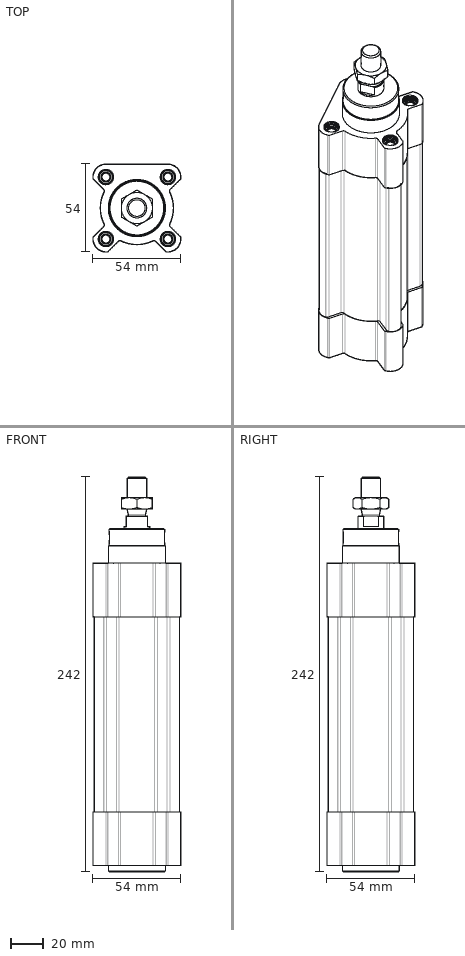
import cadquery as cq
import math

total_height = 242.0
rear_spigot_height = 3.9
cap_height = 33.0
front_cap_top = 189.2
collar_step_z = 200.0
collar_top = 210.5
rear_cap_top = rear_spigot_height + cap_height
front_cap_bottom = front_cap_top - cap_height
tube_height = front_cap_bottom - rear_cap_top

cap_width = 54.0
cap_corner_radius = 8.0
cap_barrel_diameter = 45.0
cap_lug_width = 12.8
cap_tip_fillet = 0.5
tube_inset = 0.7
tube_corner_radius = 5.8
tube_barrel_diameter = 44.5
tube_lug_width = 10.0
tube_tip_fillet = 2.5
cap_root_fillet = 1.2
tube_root_fillet = 1.5
tolerance = 0.002
screw_offset = cap_width / 2 - cap_corner_radius

collar_diameter = 35.0
waisted_diameter = 34.3
waist_depth = 0.2
collar_chamfer = 0.7
step_chamfer = 0.5

screw_steps = [(9.5, 1.0), (8.7, 2.0), (8.0, 3.0), (6.0, 3.9), (4.8, 7.3)]
drill_point_angle = 118.0

rod_diameter = 16.0
rod_bottom = front_cap_bottom
rod_shoulder_z = 218.2
rod_shoulder_chamfer = 0.5
flat_bottom_z = 211.7
flats_width = 13.0
thread_diameter = 12.0
thread_start_z = 222.0
undercut_diameter = 10.6
undercut_top_z = 219.0
tip_chamfer = 1.0

nut_bottom = 222.3
nut_height = 7.0
nut_across_flats = 19.0
nut_corner_chamfer = 1.0
nut_across_corners = nut_across_flats / math.cos(math.radians(30))


def lugged_section(width, corner_radius, barrel_diameter, lug_width, root_fillet, tip_fillet, height):
    """Barrel with four diagonal lugs and one flat side (+Y), standing on Z = 0."""
    half = width / 2
    bar_length = 2 * width
    section = cq.Workplane("XY").circle(barrel_diameter / 2).extrude(height)
    for angle in (45, -45):
        bar = cq.Workplane("XY").rect(bar_length, lug_width).extrude(height)
        section = section.union(bar.rotate((0, 0, 0), (0, 0, 1), angle))
    flat_side = cq.Workplane("XY").polyline([(0, 0), (half, half), (-half, half)]).close().extrude(height)
    section = section.union(flat_side)
    envelope = cq.Workplane("XY").rect(width, width).extrude(height).edges("|Z").fillet(corner_radius)
    section = section.intersect(envelope)

    def is_root_edge(edge):
        centre = edge.Center()
        off_axis = min(abs(centre.x), abs(centre.y)) > root_fillet
        return off_axis and math.hypot(centre.x, centre.y) < barrel_diameter / 2 + root_fillet

    def is_tip_edge(edge):
        near, far = sorted((abs(edge.Center().x), abs(edge.Center().y)))
        return math.isclose(far, half, abs_tol=tolerance) and near < half - corner_radius - tolerance

    section = section.edges("|Z").filter(is_root_edge).fillet(root_fillet)
    return section.edges("|Z").filter(is_tip_edge).fillet(tip_fillet)


def make_cap():
    return lugged_section(
        cap_width,
        cap_corner_radius,
        cap_barrel_diameter,
        cap_lug_width,
        cap_root_fillet,
        cap_tip_fillet,
        cap_height,
    )


def make_tube():
    tube_width = cap_width - 2 * tube_inset
    return lugged_section(
        tube_width,
        tube_corner_radius,
        tube_barrel_diameter,
        tube_lug_width,
        tube_root_fillet,
        tube_tip_fillet,
        tube_height,
    )


def make_collar():
    """Plain collar with a slightly waisted, chamfered collar on top of it."""
    radius = collar_diameter / 2
    end_radius = waisted_diameter / 2
    waisted_top = collar_top - collar_chamfer
    return (
        cq.Workplane("XZ")
        .moveTo(0, front_cap_top)
        .lineTo(radius, front_cap_top)
        .lineTo(radius, collar_step_z - step_chamfer)
        .lineTo(radius - step_chamfer, collar_step_z)
        .lineTo(end_radius, collar_step_z)
        .threePointArc((end_radius - waist_depth, (collar_step_z + waisted_top) / 2), (end_radius, waisted_top))
        .lineTo(end_radius - collar_chamfer, collar_top)
        .lineTo(0, collar_top)
        .close()
        .revolve(360, (0, 0), (0, 1))
    )


def make_spigot():
    spigot = cq.Workplane("XY").circle(collar_diameter / 2).extrude(rear_spigot_height)
    return spigot.faces("<Z").chamfer(collar_chamfer)


def make_screw_recess():
    """Stepped round recess with a drill-point bottom, its mouth at Z = 0."""
    last_diameter, last_depth = screw_steps[-1]
    point_depth = last_diameter / 2 / math.tan(math.radians(drill_point_angle / 2))
    profile = cq.Workplane("XZ").moveTo(0, 0)
    top = 0
    for diameter, depth in screw_steps:
        profile = profile.lineTo(diameter / 2, -top).lineTo(diameter / 2, -depth)
        top = depth
    profile = profile.lineTo(0, -last_depth - point_depth).close()
    return profile.revolve(360, (0, 0), (0, 1))


def make_housing():
    housing = make_spigot()
    housing = housing.union(make_cap().translate((0, 0, rear_spigot_height)))
    housing = housing.union(make_tube().translate((0, 0, rear_cap_top)))
    housing = housing.union(make_cap().translate((0, 0, front_cap_bottom)))
    housing = housing.union(make_collar())
    for x in (-screw_offset, screw_offset):
        for y in (-screw_offset, screw_offset):
            housing = housing.cut(make_screw_recess().translate((x, y, front_cap_top)))
    rod_bore = cq.Workplane("XY", origin=(0, 0, rod_bottom)).circle(rod_diameter / 2)
    return housing.cut(rod_bore.extrude(collar_top - rod_bottom))


def make_rod():
    rod_radius = rod_diameter / 2
    thread_radius = thread_diameter / 2
    undercut_radius = undercut_diameter / 2
    rod = (
        cq.Workplane("XZ")
        .polyline([
            (0, rod_bottom),
            (rod_radius, rod_bottom),
            (rod_radius, rod_shoulder_z - rod_shoulder_chamfer),
            (rod_radius - rod_shoulder_chamfer, rod_shoulder_z),
            (undercut_radius, rod_shoulder_z),
            (undercut_radius, undercut_top_z),
            (thread_radius, thread_start_z),
            (thread_radius, total_height - tip_chamfer),
            (thread_radius - tip_chamfer, total_height),
            (0, total_height),
        ])
        .close()
        .revolve(360, (0, 0), (0, 1))
    )
    flat_height = rod_shoulder_z - flat_bottom_z
    cut_centre = (flats_width + rod_diameter) / 2
    for x in (-cut_centre, cut_centre):
        flat_cut = cq.Workplane("XY", origin=(x, 0, flat_bottom_z)).rect(rod_diameter, rod_diameter)
        rod = rod.cut(flat_cut.extrude(flat_height))
    return rod


def make_nut():
    """Hexagon with corners on the Y axis, chamfered on both faces and bored for the thread."""
    hexagon = (
        cq.Workplane("XY", origin=(0, 0, nut_bottom))
        .polygon(6, nut_across_corners)
        .extrude(nut_height)
        .rotate((0, 0, 0), (0, 0, 1), 90)
    )
    corner_radius = nut_across_corners / 2
    face_radius = nut_across_flats / 2
    nut_top = nut_bottom + nut_height
    chamfer_body = (
        cq.Workplane("XZ")
        .polyline([
            (0, nut_bottom),
            (face_radius, nut_bottom),
            (corner_radius, nut_bottom + nut_corner_chamfer),
            (corner_radius, nut_top - nut_corner_chamfer),
            (face_radius, nut_top),
            (0, nut_top),
        ])
        .close()
        .revolve(360, (0, 0), (0, 1))
    )
    bore = cq.Workplane("XY", origin=(0, 0, nut_bottom)).circle(thread_diameter / 2).extrude(nut_height)
    return hexagon.intersect(chamfer_body).cut(bore)


housing = make_housing()
rod = make_rod()
nut = make_nut()
result = cq.Compound.makeCompound([housing.val(), rod.val(), nut.val()])